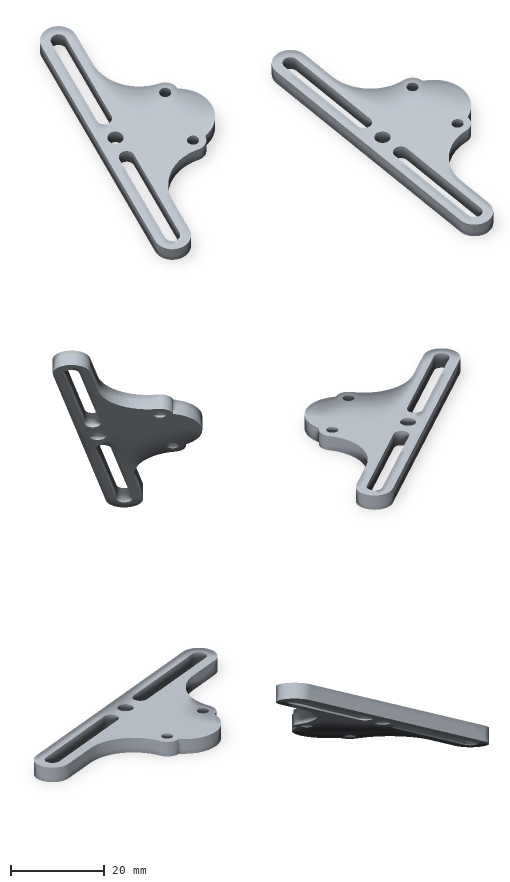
import cadquery as cq
import math

length = 68.0
depth = 26.6
thickness = 3.5

bar_radius = 4.0
bar_width = 2 * bar_radius
bar_end_x = length / 2 - bar_radius

slot_width = 3.4
slot_inner_x = 6.0
slot_length = bar_end_x - slot_inner_x + slot_width
slot_center_x = (bar_end_x + slot_inner_x) / 2
center_hole_diameter = 3.5

ear_hole_x = 7.35
ear_hole_y = 18.9
ear_hole_diameter = 2.6
ear_radius = 2.85
ear_side_x = ear_hole_x + ear_radius
ear_top_y = ear_hole_y + ear_radius

flare_radius = ear_hole_y - bar_width
flare_end_x = ear_side_x + flare_radius

dome_radius = 7.9
dome_center_y = depth - dome_radius
ear_rise = ear_top_y - dome_center_y
ear_distance = math.hypot(ear_hole_x, ear_rise)
tangent_angle = math.atan2(ear_rise, ear_hole_x) + math.acos(dome_radius / ear_distance)
dome_end_x = dome_radius * math.cos(tangent_angle)
dome_end_y = dome_center_y + dome_radius * math.sin(tangent_angle)

DIAGONAL = math.sqrt(0.5)
ear_mid = ear_radius * DIAGONAL
flare_mid = flare_radius * (1 - DIAGONAL)


def make_plate():
    """Symmetric outline, drawn counterclockwise from the front left."""
    return (
        cq.Workplane("XY")
        .moveTo(-bar_end_x, 0)
        .lineTo(bar_end_x, 0)
        .threePointArc((length / 2, bar_radius), (bar_end_x, bar_width))
        .lineTo(flare_end_x, bar_width)
        .threePointArc((ear_side_x + flare_mid, bar_width + flare_mid), (ear_side_x, ear_hole_y))
        .threePointArc((ear_hole_x + ear_mid, ear_hole_y + ear_mid), (ear_hole_x, ear_top_y))
        .lineTo(dome_end_x, dome_end_y)
        .threePointArc((0, depth), (-dome_end_x, dome_end_y))
        .lineTo(-ear_hole_x, ear_top_y)
        .threePointArc((-ear_hole_x - ear_mid, ear_hole_y + ear_mid), (-ear_side_x, ear_hole_y))
        .threePointArc((-ear_side_x - flare_mid, bar_width + flare_mid), (-flare_end_x, bar_width))
        .lineTo(-bar_end_x, bar_width)
        .threePointArc((-length / 2, bar_radius), (-bar_end_x, 0))
        .close()
        .extrude(thickness)
    )


def cut_openings(plate):
    """Cut the slots, the centre hole and the ear holes through the plate."""
    slots = (
        cq.Workplane("XY")
        .pushPoints([(side * slot_center_x, bar_radius) for side in (-1, 1)])
        .slot2D(slot_length, slot_width)
        .extrude(thickness)
    )
    center_hole = (
        cq.Workplane("XY")
        .center(0, bar_radius)
        .circle(center_hole_diameter / 2)
        .extrude(thickness)
    )
    ear_holes = (
        cq.Workplane("XY")
        .pushPoints([(side * ear_hole_x, ear_hole_y) for side in (-1, 1)])
        .circle(ear_hole_diameter / 2)
        .extrude(thickness)
    )
    return plate.cut(slots).cut(center_hole).cut(ear_holes)


result = cut_openings(make_plate())